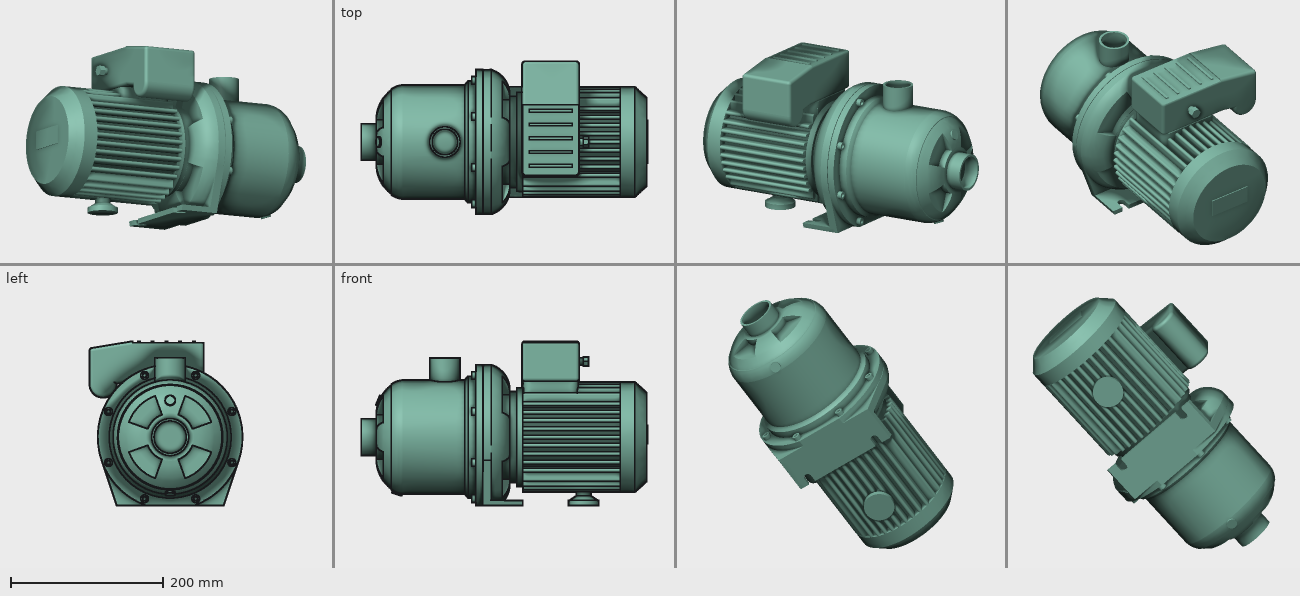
import cadquery as cq
import math


inlet_end = 19.5
dome_pocket_floor = 29.0
dome_edge = 39.0
shell_start = 54.0
shell_end = 135.7
collar_start = 140.2
flange_front = 150.5
flange_back = 159.5
gasket_gap = 0.95
lantern_plate_back = 170.5
lantern_pocket_floor = 185.5
lantern_dome_back = 195.0
motor_front = 203.8
fins_front = 212.0
fins_back = 340.0
cover_taper_start = 359.0
cover_back = 375.0
overall_length = 376.0

inlet_radius = 48.5 / 2
inlet_bore_radius = 42.5 / 2
dome_hub_radius = 31.2
dome_pocket_radius = 57.5
dome_rim_radius = 136.0 / 2
shoulder_radius = dome_rim_radius + 1.0
shell_radius = 150.0 / 2
collar_radius = 160.0 / 2
flange_radius = 95.0
gasket_radius = 93.5
neck_radius = 120.0 / 2
end_ring_radius = 130.0 / 2
motor_radius = 145.0 / 2
cover_end_radius = 58.0

ground_z = -90.0
foot_thickness = 6.8
foot_top_z = ground_z + foot_thickness
top_z = 126.0

pocket_count = 4
casing_rib_half_angle = 20.0
lantern_rib_half_angle = 22.0

outlet_x = 109.8
outlet_top_z = 103.8
outlet_radius = 40.0 / 2
outlet_bore_radius = 34.0 / 2
screw_count = 8
screw_circle_radius = 87.5
screw_radius = 10.0 / 2
screw_head_height = 5.5
socket_radius = 2.5
socket_depth = 2.5
plug_radius = 13.5 / 2
plug_length = 7.5
vent_plug_x = 21.8
vent_plug_z = 48.5
vent_plug_tilt = 23.0
drain_plug_x = 46.5
drain_plug_z = -75.2
drain_plug_tilt = -72.0

foot_half_width = 70.5
foot_slot_width = 10.0
foot_slot_y = 52.5
foot_slot_depth = 15.0

fin_pitch = 11.0
fin_thickness = 5.3
fins_each_side = 4
nameplate_width = 56.5
nameplate_height = 24.5
nameplate_z = 3.5

box_front = 211.0
box_length = 75.2
box_y_min = -44.5
box_y_max = 106.0
box_bottom_z = 73.0
box_round = 4.5
lid_ridge_y = 49.0
lid_slope_end_z = 116.5
lid_panel_depth = 2.0
hook_radius = 18.0
hook_centre_z = 69.5
hook_ramp_y = 52.5
slat_count = 5
slat_pitch = 18.0
slat_first_y = -31.2
slat_length = 56.5
slat_width = 3.5

pedestal_length = 73.0
pedestal_width = 81.2
pedestal_bottom_z = 52.5
pedestal_round = 10.0

gland_z = 99.3
gland_neck_radius = 10.0 / 2
gland_neck_length = 5.0
gland_nut_flats = 12.0
gland_nut_length = 7.5

motor_foot_x = 291.8
motor_foot_radius = 40.0 / 2
motor_foot_cone_radius = 18.8
motor_foot_stem_radius = 20.0 / 2
motor_foot_cone_top_z = -77.0
motor_foot_stem_top_z = -59.8


def shaft_cylinder(radius, x_start, x_end):
    return cq.Workplane("YZ").workplane(offset=x_start).circle(radius).extrude(x_end - x_start)


def block(x_start, x_end, y_start, y_end, z_start, z_end):
    size = (x_end - x_start, y_end - y_start, z_end - z_start)
    return cq.Workplane("XY").box(*size, centered=False).translate((x_start, y_start, z_start))


def revolve_about_shaft(profile):
    """Revolve a closed profile drawn in XZ, with Z as the radius."""
    return profile.revolve(360, (0, 0, 0), (1, 0, 0))


def ring_sectors(rib_half_angle, inner_radius, outer_radius, x_start, x_end):
    """Ring pieces that lie between four ribs pointing along Y and Z."""
    step = 360 / pocket_count
    sector_angle = step - 2 * rib_half_angle
    sectors = cq.Workplane("XY")
    for index in range(pocket_count):
        piece = (
            cq.Workplane("XZ")
            .moveTo(x_start, inner_radius)
            .lineTo(x_end, inner_radius)
            .lineTo(x_end, outer_radius)
            .lineTo(x_start, outer_radius)
            .close()
            .revolve(sector_angle, (0, 0, 0), (1, 0, 0))
            .rotate((0, 0, 0), (1, 0, 0), rib_half_angle + index * step)
        )
        sectors = sectors.add(piece)
    return sectors.combine()


def casing_shell():
    rim_bulge = 1.0
    rim_mid_x = (dome_edge + shell_start) / 2
    rim_mid_radius = (shoulder_radius + shell_radius) / 2 + rim_bulge
    profile = (
        cq.Workplane("XZ")
        .moveTo(inlet_end, 0)
        .lineTo(inlet_end, dome_hub_radius)
        .threePointArc(
            (dome_pocket_floor, dome_pocket_radius), (dome_edge, dome_rim_radius)
        )
        .lineTo(dome_edge, shoulder_radius)
        .threePointArc((rim_mid_x, rim_mid_radius), (shell_start, shell_radius))
        .lineTo(shell_end, shell_radius)
        .lineTo(collar_start, collar_radius)
        .lineTo(flange_front, collar_radius)
        .lineTo(flange_front, flange_radius)
        .lineTo(flange_back, flange_radius)
        .lineTo(flange_back, 0)
        .close()
    )
    below_ground = block(flange_front, flange_back, -flange_radius, flange_radius, -flange_radius, ground_z)
    pockets = ring_sectors(casing_rib_half_angle, dome_hub_radius, shell_radius, inlet_end, dome_pocket_floor)
    return revolve_about_shaft(profile).cut(below_ground).cut(pockets)


def inlet_stub():
    stub = shaft_cylinder(inlet_radius, 0, inlet_end)
    return stub.cut(shaft_cylinder(inlet_bore_radius, 0, inlet_end))


def outlet_stub():
    tube_bottom_z = shell_radius - 2 * (outlet_radius - outlet_bore_radius)
    return (
        cq.Workplane("XY", origin=(outlet_x, 0, tube_bottom_z))
        .circle(outlet_radius)
        .circle(outlet_bore_radius)
        .extrude(outlet_top_z - tube_bottom_z)
    )


def screw_heads():
    head_front = flange_front - screw_head_height
    half_step = 180 / screw_count
    return (
        cq.Workplane("YZ", origin=(head_front, 0, 0))
        .polarArray(screw_circle_radius, half_step, 360, screw_count)
        .circle(screw_radius)
        .extrude(screw_head_height)
        .faces("<X")
        .workplane(origin=(head_front, 0, 0))
        .polarArray(screw_circle_radius, half_step, 360, screw_count)
        .circle(socket_radius)
        .cutBlind(-socket_depth)
    )


def plug(x, z, tilt):
    """Round plug whose outer face is centred at (x, 0, z), facing -X tilted toward +Z."""
    angle = math.radians(tilt)
    inward = cq.Vector(math.cos(angle), 0, -math.sin(angle))
    return cq.Workplane(cq.Solid.makeCylinder(plug_radius, plug_length, cq.Vector(x, 0, z), inward))


def make_casing():
    return (
        casing_shell()
        .union(inlet_stub())
        .union(outlet_stub())
        .union(screw_heads())
        .union(plug(vent_plug_x, vent_plug_z, vent_plug_tilt))
        .union(plug(drain_plug_x, drain_plug_z, drain_plug_tilt))
    )


def make_lantern():
    plate_front = flange_back + gasket_gap
    dome_mid_x = 188.0
    dome_mid_radius = 82.7
    dome_end_radius = 61.3
    profile = (
        cq.Workplane("XZ")
        .moveTo(flange_back, 0)
        .lineTo(flange_back, gasket_radius)
        .lineTo(plate_front, gasket_radius)
        .lineTo(plate_front, flange_radius)
        .lineTo(lantern_plate_back, flange_radius)
        .threePointArc((dome_mid_x, dome_mid_radius), (lantern_dome_back, dome_end_radius))
        .lineTo(lantern_dome_back, neck_radius)
        .lineTo(motor_front, neck_radius)
        .lineTo(motor_front, 0)
        .close()
    )
    foot_space = block(flange_back, motor_front, -flange_radius, flange_radius, -flange_radius, foot_top_z)
    pockets = ring_sectors(
        lantern_rib_half_angle, neck_radius, flange_radius, lantern_pocket_floor, lantern_dome_back
    )
    return revolve_about_shaft(profile).cut(foot_space).cut(pockets).clean()


def make_bracket():
    corner_distance = math.hypot(foot_half_width, ground_z)
    tangent_angle = math.atan2(ground_z, foot_half_width) + math.acos(flange_radius / corner_distance)
    tangent_y = flange_radius * math.cos(tangent_angle)
    tangent_z = flange_radius * math.sin(tangent_angle)
    body = (
        cq.Workplane("YZ", origin=(flange_back, 0, 0))
        .moveTo(-foot_half_width, ground_z)
        .lineTo(foot_half_width, ground_z)
        .lineTo(tangent_y, tangent_z)
        .lineTo(-tangent_y, tangent_z)
        .close()
        .extrude(fins_front - flange_back)
    )
    above_foot = block(
        lantern_plate_back, fins_front, -flange_radius, flange_radius, foot_top_z, tangent_z
    )
    lantern_seat = shaft_cylinder(flange_radius, flange_back, lantern_plate_back).intersect(
        block(flange_back, lantern_plate_back, -flange_radius, flange_radius, foot_top_z, flange_radius)
    )
    slots = (
        cq.Workplane("XY", origin=(fins_front, 0, ground_z))
        .pushPoints([(0, -foot_slot_y), (0, foot_slot_y)])
        .slot2D(2 * foot_slot_depth, foot_slot_width)
        .extrude(foot_thickness)
    )
    return body.cut(above_foot).cut(lantern_seat).cut(slots)


def fin_pair(offset):
    """Fin plate through the core, reaching the motor radius on both sides along Y."""
    half_span = math.sqrt(motor_radius**2 - offset**2)
    return (
        cq.Workplane("YZ", origin=(fins_front, 0, 0))
        .center(0, offset)
        .slot2D(2 * half_span, fin_thickness)
        .extrude(fins_back - fins_front)
    )


def make_motor():
    motor = shaft_cylinder(neck_radius, fins_front, fins_back)
    for index in range(-fins_each_side, fins_each_side + 1):
        fin = fin_pair(index * fin_pitch)
        motor = motor.union(fin).union(fin.rotate((0, 0, 0), (1, 0, 0), 90))
    return motor.union(shaft_cylinder(end_ring_radius, motor_front, fins_front))


def make_fan_cover():
    profile = (
        cq.Workplane("XZ")
        .moveTo(fins_back, 0)
        .lineTo(fins_back, motor_radius)
        .lineTo(cover_taper_start, motor_radius)
        .lineTo(cover_back, cover_end_radius)
        .lineTo(cover_back, 0)
        .close()
    )
    nameplate = (
        cq.Workplane("YZ", origin=(cover_back, 0, nameplate_z))
        .rect(nameplate_width, nameplate_height)
        .extrude(overall_length - cover_back)
    )
    return revolve_about_shaft(profile).union(nameplate)


def make_pedestal():
    return (
        cq.Workplane("XY", origin=(fins_front + pedestal_length / 2, 0, pedestal_bottom_z))
        .rect(pedestal_length, pedestal_width)
        .extrude(box_bottom_z - pedestal_bottom_z)
        .edges("|Z")
        .fillet(pedestal_round)
    )


def terminal_box_body():
    hook_centre_y = box_y_max - hook_radius
    body = (
        cq.Workplane("YZ", origin=(box_front, 0, 0))
        .moveTo(box_y_min, box_bottom_z)
        .lineTo(box_y_min, top_z)
        .lineTo(lid_ridge_y, top_z)
        .lineTo(box_y_max, lid_slope_end_z)
        .lineTo(box_y_max, hook_centre_z)
        .threePointArc(
            (hook_centre_y, hook_centre_z - hook_radius), (hook_centre_y - hook_radius, hook_centre_z)
        )
        .lineTo(hook_ramp_y, box_bottom_z)
        .close()
        .extrude(box_length)
    )
    lid_end_edge = body.edges("|X").edges(">Y").edges(">Z")
    long_edges = body.faces("<Y").edges("|X").add(lid_end_edge)
    return body.faces("<X or >X").edges().add(long_edges).fillet(box_round)


def lid_slats():
    slat_x = box_front + box_length / 2
    places = [(slat_x, slat_first_y + index * slat_pitch) for index in range(slat_count)]
    return (
        cq.Workplane("XY", origin=(0, 0, top_z - lid_panel_depth))
        .pushPoints(places)
        .rect(slat_length, slat_width)
        .extrude(lid_panel_depth)
    )


def make_terminal_box():
    lid_panel = block(
        box_front, box_front + box_length, box_y_min, lid_ridge_y, top_z - lid_panel_depth, top_z
    )
    return terminal_box_body().cut(lid_panel).union(lid_slats())


def make_gland():
    nut_corners = gland_nut_flats / math.cos(math.pi / 6)
    return (
        cq.Workplane("YZ", origin=(box_front + box_length, 0, gland_z))
        .circle(gland_neck_radius)
        .extrude(gland_neck_length)
        .faces(">X")
        .workplane()
        .polygon(6, nut_corners)
        .extrude(gland_nut_length)
    )


def make_motor_foot():
    return (
        cq.Workplane("XZ")
        .moveTo(0, ground_z)
        .lineTo(motor_foot_radius, ground_z)
        .lineTo(motor_foot_radius, foot_top_z)
        .lineTo(motor_foot_cone_radius, foot_top_z)
        .lineTo(motor_foot_stem_radius, motor_foot_cone_top_z)
        .lineTo(motor_foot_stem_radius, motor_foot_stem_top_z)
        .lineTo(0, motor_foot_stem_top_z)
        .close()
        .revolve(360, (0, 0, 0), (0, 1, 0))
        .translate((motor_foot_x, 0, 0))
    )


casing = make_casing()
lantern = make_lantern()
bracket = make_bracket()
pedestal = make_pedestal()
motor_foot = make_motor_foot()
motor = make_motor().cut(pedestal).cut(motor_foot)
fan_cover = make_fan_cover()
terminal_box = make_terminal_box()
gland = make_gland()

result = cq.Compound.makeCompound(
    [
        casing.val(),
        lantern.val(),
        bracket.val(),
        motor.val(),
        fan_cover.val(),
        pedestal.val(),
        terminal_box.val(),
        gland.val(),
        motor_foot.val(),
    ]
)